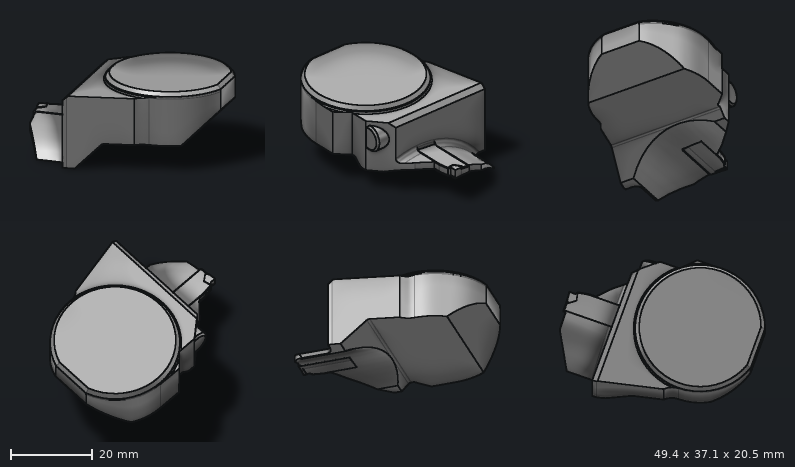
import cadquery as cq
import math


overall_length = 49.35

disc_radius = 16.0
disc_top = 20.5
disc_chamfer = 1.0
disc_flat_x = 15.1
disc_root_fillet = 0.4

body_radius = 16.05
block_top = 18.75
wall_x = -20.75
wall_chamfer_length = 1.4
wall_chamfer_height = 1.2
foot_x = -17.6
raised_floor = 6.65
floor_fillet = 1.0
tail_chamfer_height = 7.25
front_y = -21.0
front_edge_x = -19.7
front_corner = (-3.3, -17.35)
back_y = 12.65
bevel_top_x = -14.95
bevel_angle = 40.0
step_x = -9.85
ledge_y = 8.9
ledge_floor = 4.6

arch_y = 0.25
blade_top_radius = 22.5
blade_top_axis_z = -14.1
blade_bottom_radius = 26.0
blade_bottom_axis_z = -19.65
blade_root_fillet = 1.6
nose_x = -33.45
nose_corner_y = -9.15
nose_angle = 60.0
bevel_break_x = -24.45
blade_side_start_x = -27.7
blade_side_y = 1.2
relief_start_x = -29.4

insert_back_x = -20.85
insert_front_x = -34.1
insert_bottom = 6.15
insert_side_y = 1.0
insert_front_y = -4.65
insert_side_top = 8.55
insert_front_top = 8.05
tip_x = disc_flat_x - overall_length
tip_y = 0.05
tip_end_y = -2.0
tip_back_x = -32.65
relief_end = (-32.25, 0.55)
pad_height = 0.2
pad_back_x = -31.85
pad_back_y = -1.45
pad_front_corner = (-33.5, -2.65)
edge_chamfer = 0.25

boss_radius = 3.5
boss_x = -16.0
boss_z = 14.05
boss_end_y = 12.5
boss_chamfer = 0.55

margin = 2.45


def bevel_y(x):
    """Y of the bevelled face at a given x."""
    return back_y + (x - bevel_top_x) * math.tan(math.radians(bevel_angle))


def prism(points, bottom, top):
    """Vertical prism over a closed polygon."""
    return cq.Workplane("XY").workplane(offset=bottom).polyline(points).close().extrude(top - bottom)


def x_cylinder(radius, axis_z, x_start, x_end):
    """Cylinder along X with its axis at the middle of the arch."""
    return (
        cq.Workplane("YZ").workplane(offset=x_start)
        .center(arch_y, axis_z).circle(radius).extrude(x_end - x_start)
    )


def front_arc_middle():
    """Middle of the hollow arc that runs from the front corner tangentially into the body."""
    run = -front_corner[0]
    drop = -body_radius - front_corner[1]
    radius = (run ** 2 + drop ** 2) / (2 * drop)
    half_angle = math.asin(run / radius) / 2
    centre_y = -body_radius - radius
    return (-radius * math.sin(half_angle), centre_y + radius * math.cos(half_angle))


def make_block_plan():
    """Plan of the block and the round body under the disc, extruded to the block top."""
    return (
        cq.Workplane("XY")
        .moveTo(wall_x, front_y)
        .lineTo(front_edge_x, front_y)
        .lineTo(*front_corner)
        .threePointArc(front_arc_middle(), (0, -body_radius))
        .threePointArc((body_radius, 0), (0, body_radius))
        .lineTo(step_x + body_radius - back_y, body_radius)
        .lineTo(step_x, back_y)
        .lineTo(bevel_top_x, back_y)
        .lineTo(wall_x, bevel_y(wall_x))
        .close()
        .extrude(block_top + disc_root_fillet)
    )


def make_block():
    """Plan cut to the side profile: wall chamfer, sloping foot, raised floor and tail chamfer."""
    slope_end_x = foot_x + raised_floor
    profile = (
        cq.Workplane("XZ")
        .polyline([
            (wall_x, 0),
            (foot_x, 0),
            (slope_end_x, raised_floor),
            (disc_flat_x - tail_chamfer_height, raised_floor),
            (disc_flat_x, raised_floor + tail_chamfer_height),
            (disc_flat_x, block_top),
            (wall_x + wall_chamfer_length, block_top),
            (wall_x, block_top - wall_chamfer_height),
        ])
        .close()
        .extrude(2 * body_radius, both=True)
    )
    corner = cq.selectors.NearestToPointSelector((slope_end_x, 0, raised_floor))
    profile = profile.edges("|Y").edges(corner).fillet(floor_fillet)
    return make_block_plan().intersect(profile)


def make_disc():
    """Chamfered disc with one flat side and a small root fillet that stays inside the block plan."""
    outer = disc_radius + disc_root_fillet
    arc_inset = disc_root_fillet * (1 - math.sqrt(0.5))
    disc = (
        cq.Workplane("XZ")
        .moveTo(0, block_top)
        .lineTo(disc_radius, block_top)
        .lineTo(disc_radius, disc_top - disc_chamfer)
        .lineTo(disc_radius - disc_chamfer, disc_top)
        .lineTo(0, disc_top)
        .close()
        .revolve(360, (0, 0, 0), (0, 1, 0))
    )
    flat_profile = (
        cq.Workplane("XZ")
        .polyline([
            (-disc_radius, block_top),
            (disc_flat_x, block_top),
            (disc_flat_x, disc_top - disc_chamfer),
            (disc_flat_x - disc_chamfer, disc_top),
            (-disc_radius, disc_top),
        ])
        .close()
        .extrude(disc_radius, both=True)
    )
    root = (
        cq.Workplane("XZ")
        .moveTo(0, block_top)
        .lineTo(outer, block_top)
        .threePointArc(
            (disc_radius + arc_inset, block_top + arc_inset),
            (disc_radius, block_top + disc_root_fillet),
        )
        .lineTo(0, block_top + disc_root_fillet)
        .close()
        .revolve(360, (0, 0, 0), (0, 1, 0))
    )
    root_limit = make_block_plan().cut(
        cq.Workplane("XY")
        .box(margin, 2 * body_radius, disc_top, centered=(False, True, False))
        .translate((disc_flat_x, 0, 0))
    )
    return disc.intersect(flat_profile).union(root.intersect(root_limit))


def make_blade():
    """Blade below its top cylinder, with a fillet ring where it meets the wall."""
    front_run = (nose_corner_y - front_y) / math.tan(math.radians(nose_angle))
    plan = prism(
        [
            (wall_x, front_y),
            (nose_x + front_run, front_y),
            (nose_x, nose_corner_y),
            (nose_x, tip_y),
            (tip_back_x, tip_y),
            (relief_end[0], relief_end[1] + blade_side_y - insert_side_y),
            (relief_start_x, blade_side_y),
            (blade_side_start_x, blade_side_y),
            (bevel_break_x, bevel_y(bevel_break_x)),
            (wall_x, bevel_y(wall_x)),
        ],
        0, block_top,
    )
    tongue = x_cylinder(blade_top_radius, blade_top_axis_z, nose_x, wall_x)
    root_start_x = wall_x - blade_root_fillet
    arc_inset = blade_root_fillet * (1 - math.sqrt(0.5))
    root = (
        cq.Workplane("XZ", origin=(0, arch_y, blade_top_axis_z))
        .moveTo(root_start_x, blade_top_radius - margin)
        .lineTo(root_start_x, blade_top_radius)
        .threePointArc(
            (wall_x - arc_inset, blade_top_radius + arc_inset),
            (wall_x, blade_top_radius + blade_root_fillet),
        )
        .lineTo(wall_x, blade_top_radius - margin)
        .close()
        .revolve(360, (0, 0, 0), (1, 0, 0))
    )
    return tongue.union(root).intersect(plan)


def make_boss():
    """Round boss that stands out of the bevelled face."""
    start_y = bevel_y(boss_x - boss_radius) - margin
    return (
        cq.Workplane("XZ", origin=(boss_x, start_y, boss_z))
        .circle(boss_radius).extrude(start_y - boss_end_y)
        .faces(">Y").chamfer(boss_chamfer)
    )


def insert_outline():
    """Plan of the insert, narrowed towards the cutting tip."""
    return [
        (insert_back_x, insert_front_y),
        (insert_front_x, insert_front_y),
        (insert_front_x, tip_end_y),
        (tip_x, tip_y),
        (tip_back_x, tip_y),
        relief_end,
        (relief_start_x, insert_side_y),
        (insert_back_x, insert_side_y),
    ]


def make_insert_slot():
    """Slot through the full blade thickness that takes the insert."""
    return prism(insert_outline(), 0, block_top)


def make_arch():
    """Space below the arched underside, from the blade nose to the end of the sloping foot."""
    return x_cylinder(blade_bottom_radius, blade_bottom_axis_z, nose_x, foot_x + raised_floor)


def make_holder():
    """Block, disc, blade and boss in one piece, arched underneath and slotted for the insert."""
    ledge_length = step_x - wall_x
    ledge_cut = (
        cq.Workplane("XY")
        .box(ledge_length, disc_radius, ledge_floor, centered=False)
        .translate((wall_x, ledge_y, 0))
    )
    holder = make_block().union(make_blade())
    holder = holder.cut(make_arch()).cut(ledge_cut)
    holder = holder.union(make_disc()).union(make_boss())
    return holder.cut(make_insert_slot())


def under_tilted_top(rise):
    """Bar along X whose top falls towards -Y, raised above the insert top by the given rise."""
    return (
        cq.Workplane("YZ").workplane(offset=tip_x)
        .polyline([
            (insert_side_y, insert_bottom),
            (insert_side_y, insert_side_top + rise),
            (insert_front_y, insert_front_top + rise),
            (insert_front_y, insert_bottom),
        ])
        .close()
        .extrude(insert_back_x - tip_x)
    )


def make_insert():
    """Insert with a tilted top, a raised pad at the tip and a chamfered front edge beside the pad."""
    body = prism(insert_outline(), insert_bottom, disc_top).intersect(under_tilted_top(0))
    front_edge = cq.selectors.NearestToPointSelector(
        (insert_front_x, (insert_front_y + tip_end_y) / 2, insert_front_top)
    )
    body = body.edges(front_edge).chamfer(edge_chamfer)
    pad = prism(
        [
            (tip_x, tip_y),
            (tip_back_x, tip_y),
            relief_end,
            (pad_back_x, pad_back_y),
            pad_front_corner,
            (insert_front_x, tip_end_y),
        ],
        insert_bottom, disc_top,
    )
    return body.union(pad.intersect(under_tilted_top(pad_height))).cut(make_arch())


holder = make_holder()
insert = make_insert()
result = cq.Compound.makeCompound([holder.solids().val(), insert.solids().val()])